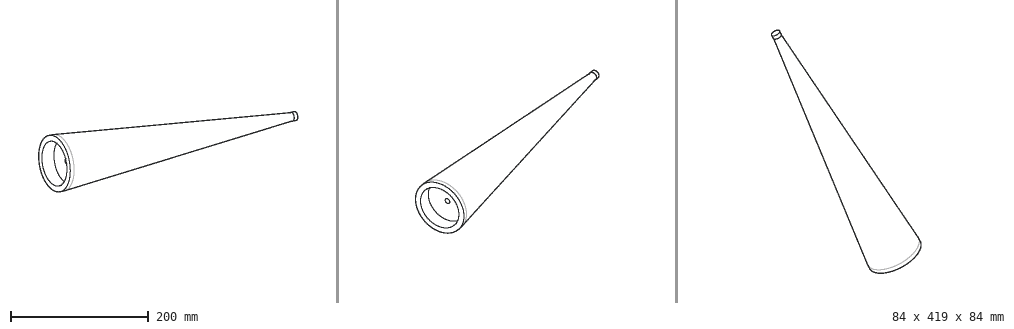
import cadquery as cq
import math

length = 419.0
base_diameter = 84.0
base_band_length = 6.5
tip_diameter = 13.5
tip_band_length = 6.3
neck_diameter = 12.5

recess_diameter = 66.2
recess_depth = 21.0
hole_diameter = 8.0
hole_depth = 21.0
drill_point_angle = 118.0

front = -length / 2
back = length / 2
base_radius = base_diameter / 2
tip_radius = tip_diameter / 2
neck_radius = neck_diameter / 2
tip_band_start = back - tip_band_length


def make_body():
    """Revolve the half profile (radius, Y) around the Y axis."""
    profile = (
        cq.Workplane("XY")
        .moveTo(0, front)
        .lineTo(base_radius, front)
        .lineTo(base_radius, front + base_band_length)
        .lineTo(neck_radius, tip_band_start)
        .lineTo(tip_radius, tip_band_start)
        .lineTo(tip_radius, back)
        .lineTo(0, back)
        .close()
    )
    return profile.revolve(360, (0, 0, 0), (0, 1, 0))


def make_recess():
    """Cylinder on the Y axis, running from the front face toward the tip."""
    return cq.Workplane("XZ", origin=(0, front, 0)).circle(recess_diameter / 2).extrude(-recess_depth)


def make_drilled_hole():
    """Blind hole with a conical end, drilled from the recess floor."""
    hole_radius = hole_diameter / 2
    point_length = hole_radius / math.tan(math.radians(drill_point_angle / 2))
    floor = front + recess_depth
    profile = (
        cq.Workplane("XY")
        .moveTo(0, floor)
        .lineTo(hole_radius, floor)
        .lineTo(hole_radius, floor + hole_depth)
        .lineTo(0, floor + hole_depth + point_length)
        .close()
    )
    return profile.revolve(360, (0, 0, 0), (0, 1, 0))


result = make_body().cut(make_recess()).cut(make_drilled_hole())